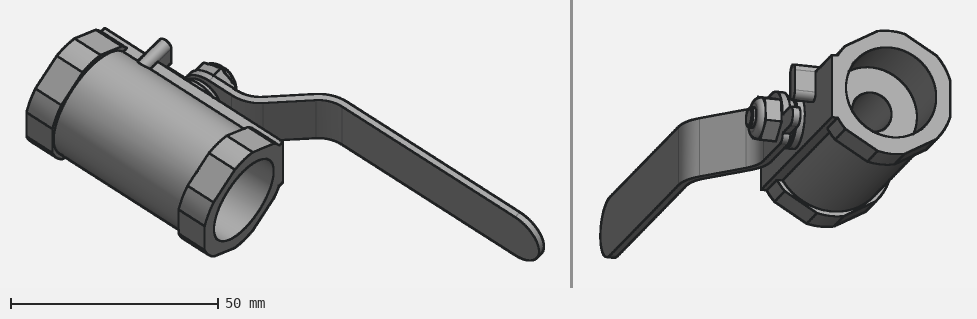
import cadquery as cq
import math


body_length = 55.3
collar_length = 8.1
collar_radius = 31.5 / 2
collar_apothem = 30.0 / 2
barrel_radius = 29.0 / 2
pad_width = 15.9
pad_height = collar_apothem
port_radius = 11.5
port_depth = 15.0
bore_radius = 10.0 / 2

stem_x = body_length / 2
flange_radius = 6.5
flange_top = 16.9
stem_radius = 5.4
stud_radius = 2.5
stud_top = 27.1
stud_chamfer = 0.4

lever_tip_x = 120.5
valve_height = 49.5
lever_top = valve_height - collar_apothem
lever_thickness = 1.9
lever_width = 14.9
lever_bottom = 18.5
lever_start_x = 21.5
bend_start_x = 36.5
bend_angle = math.radians(43)
bend_radius = 9.9
large_corner = 8.1
small_corner = 2.0
stop_arm_end_x = 13.5

nut_bottom = lever_bottom + lever_thickness
nut_height = 4.0
nut_across_flats = 10.1
nut_turn = 22
dome_radius = 1.6

post_x = 14.6
post_thickness = 3.7
post_low_z = 0.8
post_high_z = 9.8
post_top = 20.2


def corner_diameter(across_flats):
    """Diameter of the circle through the corners of a hexagon."""
    return across_flats / math.cos(math.pi / 6)


def x_cylinder(radius, start, length):
    return cq.Workplane("YZ", origin=(start, 0, 0)).circle(radius).extrude(length)


def plan(height):
    """Workplane facing +Y at the given height; its local axes are +X and -Z."""
    return cq.Workplane("XZ", origin=(0, height, 0)).transformed(rotate=(180, 0, 0))


def y_cylinder(radius, bottom, top):
    return plan(bottom).center(stem_x, 0).circle(radius).extrude(top - bottom)


def collar(start):
    """Hexagonal wrench collar with its corners turned down to a circle."""
    hexagon = (
        cq.Workplane("YZ", origin=(start, 0, 0))
        .transformed(rotate=(0, 0, 30))
        .polygon(6, corner_diameter(2 * collar_apothem))
        .extrude(collar_length)
    )
    return hexagon.intersect(x_cylinder(collar_radius, start, collar_length))


def body():
    solid = x_cylinder(barrel_radius, 0, body_length)
    for start in (0, body_length - collar_length):
        solid = solid.union(collar(start))
    pad = cq.Workplane("XY").box(body_length, pad_height, pad_width, centered=(False, False, True))
    return solid.union(pad)


def stop_post():
    """Upright post with rounded edges that limits the lever's swing."""
    length = post_high_z - post_low_z
    middle_z = (post_low_z + post_high_z) / 2
    return plan(0).center(post_x, -middle_z).slot2D(length, post_thickness, 90).extrude(post_top)


def cut_bores(solid):
    for start in (0, body_length - port_depth):
        solid = solid.cut(x_cylinder(port_radius, start, port_depth))
    return solid.cut(x_cylinder(bore_radius, 0, body_length))


def lever_strip():
    """Flat bar of full width, bent up and back level between its two ends."""
    low = lever_bottom + lever_thickness / 2
    high = lever_top - lever_thickness / 2
    sin_bend = math.sin(bend_angle)
    cos_bend = math.cos(bend_angle)
    bend_run = bend_radius * sin_bend
    bend_rise = bend_radius * (1 - cos_bend)
    slope_rise = high - low - 2 * bend_rise
    slope_run = slope_rise * cos_bend / sin_bend
    slope_start = (bend_start_x + bend_run, low + bend_rise)
    slope_end = (slope_start[0] + slope_run, slope_start[1] + slope_rise)
    bend_end = (slope_end[0] + bend_run, high)
    center_line = (
        cq.Workplane("XY")
        .moveTo(stop_arm_end_x, low)
        .lineTo(bend_start_x, low)
        .tangentArcPoint(slope_start, relative=False)
        .lineTo(*slope_end)
        .tangentArcPoint(bend_end, relative=False)
        .lineTo(lever_tip_x, high)
    )
    section = cq.Workplane("YZ", origin=(stop_arm_end_x, low, 0)).rect(lever_thickness, lever_width)
    return section.sweep(center_line)


def lever():
    half_width = lever_width / 2
    arm_high_z = half_width - large_corner
    arm_low_z = small_corner - half_width
    arm_radius = (arm_high_z - arm_low_z) / 2
    arm_x = stop_arm_end_x + arm_radius
    tip_center_x = lever_tip_x - half_width
    large_middle = large_corner * math.sqrt(0.5)
    small_middle = small_corner * math.sqrt(0.5)
    large_x = lever_start_x + large_corner
    small_x = lever_start_x + small_corner
    outline = (
        cq.Workplane("XZ")
        .moveTo(arm_x, arm_high_z)
        .lineTo(lever_start_x, arm_high_z)
        .threePointArc((large_x - large_middle, arm_high_z + large_middle), (large_x, half_width))
        .lineTo(tip_center_x, half_width)
        .threePointArc((lever_tip_x, 0), (tip_center_x, -half_width))
        .lineTo(small_x, -half_width)
        .threePointArc((small_x - small_middle, arm_low_z - small_middle), (lever_start_x, arm_low_z))
        .lineTo(arm_x, arm_low_z)
        .threePointArc((stop_arm_end_x, (arm_high_z + arm_low_z) / 2), (arm_x, arm_high_z))
        .close()
        .extrude(-lever_top)
    )
    return lever_strip().intersect(outline)


def nut():
    """Hexagon nut topped by a ring with a fully rounded outer edge."""
    nut_top = nut_bottom + nut_height
    hexagon = (
        plan(nut_bottom)
        .center(stem_x, 0)
        .transformed(rotate=(0, 0, -nut_turn))
        .polygon(6, corner_diameter(nut_across_flats))
        .extrude(nut_height)
    )
    ring_radius = nut_across_flats / 2
    dome = (
        cq.Workplane("XY", origin=(stem_x, nut_top, 0))
        .lineTo(ring_radius, 0)
        .radiusArc((ring_radius - dome_radius, dome_radius), -dome_radius)
        .lineTo(0, dome_radius)
        .close()
        .revolve(360, (0, 0), (0, 1))
    )
    return hexagon.union(dome)


def stem():
    stud = y_cylinder(stud_radius, pad_height, stud_top).faces(">Y").chamfer(stud_chamfer)
    flange = y_cylinder(flange_radius, pad_height, flange_top)
    return stud.union(flange).union(y_cylinder(stem_radius, flange_top, lever_bottom))


result = cut_bores(body().union(stop_post()))
for piece in (stem(), lever(), nut()):
    result = result.union(piece)